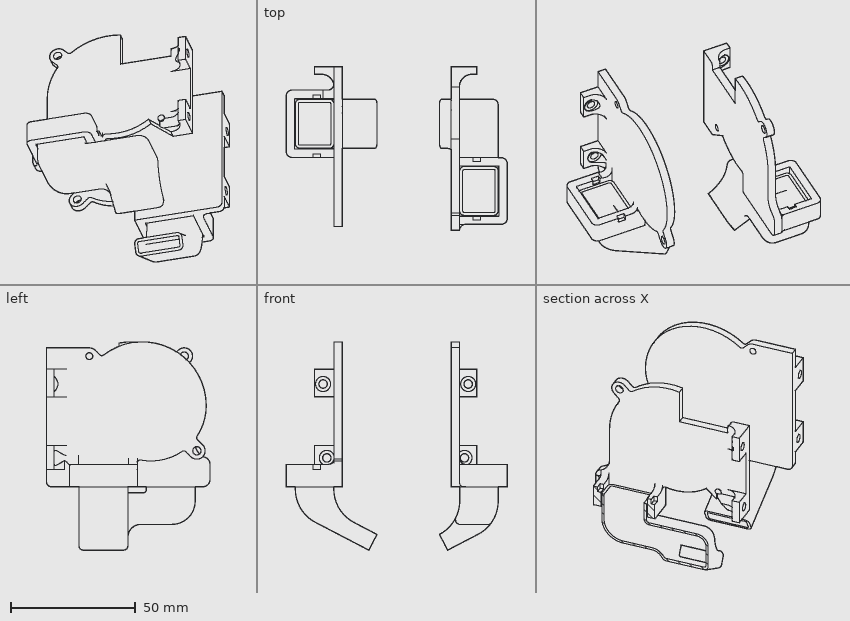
import cadquery as cq
import math


PLATE_IN = 21.8
PLATE_OUT = 25.2
BLOWER_Z = 32.5
SPIRAL_BIG_R = 25.6
SPIRAL_SMALL_R = 22.15
LEFT_BLOWER_Y = -38.45
RIGHT_BLOWER_Y = -33.9
ROOT_R = 1.15

UPPER_TAB_DY = 21.3
UPPER_TAB_DZ = 19.85
LOWER_TAB_DY = 21.8
LOWER_TAB_DZ = -18.1
TAB_R = 3.4
TAB_REACH = 8.0
TAB_HOLE_D = 3.3
PANEL_HOLE_D = 2.7
DIAGONAL = math.sqrt(0.5)

LEFT_CORNER_R = 2.0
RIGHT_FRONT_Y = -65.6
RIGHT_FOOT_R = 3.0
RIGHT_SWEEP_R = 6.0
NOTCH_BACK_Y = -8.1
NOTCH_FRONT_Y = -29.1
NOTCH_FLOOR_Z = 43.6
CUT_FRONT_Y = -17.1

LUG_THICK = 3.1
LUG_FILLET_R = 4.9
LUG_UPPER_TOP = 47.1
LUG_UPPER_HEIGHT = 11.1
LUG_LOWER_TOP = 16.7
LUG_LOWER_HEIGHT = 9.75
LEFT_LUG_X = 33.0
RIGHT_LUG_X = 32.1
LUG_UPPER_HOLE_Z = 41.2
LUG_LOWER_HOLE_Z = 11.6
LUG_HOLE_STEP = 1.5
LEFT_LUG_HOLE_X = 29.5
RIGHT_LUG_HOLE_X = 28.6
LUG_HOLE_D = 3.3
LUG_BORE_D = 6.0
LUG_BORE_DEPTH = 0.4

COLLAR_OUT = 44.3
COLLAR_HEIGHT = 9.0
COLLAR_SIDE_WALL = 3.4
COLLAR_CORNER_R = 2.5
COLLAR_FILLET_R = 2.4
CAVITY_LENGTH = 20.0
LEFT_CAVITY_BACK = -12.85
RIGHT_CAVITY_BACK = -39.8
LEFT_END_WALL = 3.5
RIGHT_END_WALL = 3.4
CATCH_X = 32.0
CATCH_WIDTH = 3.1
CATCH_LENGTH = 1.5
CATCH_DEPTH = 2.1

NOZZLE_WIDTH = 15.5
NOZZLE_GAP = 0.2
NOZZLE_WALL = 1.2
NOZZLE_EDGE_R = 1.95
RIM_Z = 6.4
CHUTE_R = 15.1
CHUTE_SLOPE = 27.5
LEFT_BEND_Z = -0.9
LEFT_RUN = 10.4
RIGHT_RUN = 0
DUCT_TOP_Z = -2.3
DUCT_BOTTOM_Z = -15.1
DUCT_ELBOW_R = 9.4
DUCT_INNER_R = 1.15
DUCT_END_R = 5.05
BELOW_OUTLET_Z = -44.3

SAME_POINT = 0.01

PLATE_THICK = PLATE_OUT - PLATE_IN
RIGHT_BEND_Z = DUCT_BOTTOM_Z + DUCT_ELBOW_R
NOZZLE_OUT = PLATE_OUT + NOZZLE_WIDTH
NOZZLE_LENGTH = CAVITY_LENGTH - 2 * NOZZLE_GAP
LEFT_NOZZLE_BACK = LEFT_CAVITY_BACK - NOZZLE_GAP
RIGHT_NOZZLE_BACK = RIGHT_CAVITY_BACK - NOZZLE_GAP
LEFT_COLLAR_FRONT = LEFT_CAVITY_BACK - CAVITY_LENGTH - LEFT_END_WALL
RIGHT_COLLAR_BACK = RIGHT_CAVITY_BACK + RIGHT_END_WALL


def box(x_range, y_range, z_range):
    """Block between two corners."""
    (x0, x1), (y0, y1), (z0, z1) = x_range, y_range, z_range
    size = (x1 - x0, y1 - y0, z1 - z0)
    return cq.Workplane("XY").box(*size, centered=False).translate((x0, y0, z0))


def plate_sketch():
    """YZ workplane on the inner plate face; extruding it runs towards the blower face."""
    return cq.Workplane("YZ", origin=(PLATE_IN, 0, 0))


def round_plate_corners(body, corners, radius):
    """Round the plate edges that run along X through the given (y, z) corners."""
    mid_x = (PLATE_IN + PLATE_OUT) / 2
    for y, z in corners:
        nearest = cq.selectors.NearestToPointSelector((mid_x, y, z))
        body = body.edges("|X").edges(nearest).fillet(radius)
    return body


def blower_disc(centre_y, front):
    """Spiral outline of the blower; `front` is -1 or +1, the Y side where both halves are flush."""
    edge_y = centre_y + front * SPIRAL_BIG_R
    upper_end = edge_y - front * 2 * SPIRAL_BIG_R
    lower_end = edge_y - front * 2 * SPIRAL_SMALL_R
    lower_y = edge_y - front * SPIRAL_SMALL_R
    return (
        plate_sketch()
        .moveTo(edge_y, BLOWER_Z)
        .threePointArc((centre_y, BLOWER_Z + SPIRAL_BIG_R), (upper_end, BLOWER_Z))
        .lineTo(lower_end, BLOWER_Z)
        .threePointArc((lower_y, BLOWER_Z - SPIRAL_SMALL_R), (edge_y, BLOWER_Z))
        .close()
        .extrude(PLATE_THICK)
    )


def screw_tab(y, z, toward_z):
    """Round-ended tab whose diagonal sides run rearwards and up or down into the blower outline."""
    tip = plate_sketch().center(y, z).circle(TAB_R).extrude(PLATE_THICK)
    stem = (
        plate_sketch()
        .center(y, z)
        .transformed(rotate=(0, 0, 45 * toward_z))
        .center(TAB_REACH / 2, 0)
        .rect(TAB_REACH, 2 * TAB_R)
        .extrude(PLATE_THICK)
    )
    return tip.union(stem)


def tab_root(tab, direction, side, centre_y, radius):
    """Point where one diagonal side of a tab meets a blower arc."""
    step_y, step_z = direction[0] * DIAGONAL, direction[1] * DIAGONAL
    start_y = tab[0] - side * step_z * TAB_R
    start_z = tab[1] + side * step_y * TAB_R
    rel_y, rel_z = start_y - centre_y, start_z - BLOWER_Z
    along = rel_y * step_y + rel_z * step_z
    travel = -along - math.sqrt(along**2 - rel_y**2 - rel_z**2 + radius**2)
    return start_y + travel * step_y, start_z + travel * step_z


def plate_hole(y, z, diameter):
    """Cutter for a screw hole through a plate."""
    return plate_sketch().center(y, z).circle(diameter / 2).extrude(PLATE_THICK)


def left_plate():
    """Panel with a screw corner at the top, a spiral disc and one tab at the lower front."""
    upper = (LEFT_BLOWER_Y + UPPER_TAB_DY, BLOWER_Z + UPPER_TAB_DZ)
    lower = (LEFT_BLOWER_Y - LOWER_TAB_DY, BLOWER_Z + LOWER_TAB_DZ)
    shoulder = (upper[0] - TAB_R * DIAGONAL, upper[1] + TAB_R * DIAGONAL)
    arc_angle = math.radians(67.5)
    arc_mid = (upper[0] - TAB_R * math.cos(arc_angle), upper[1] + TAB_R * math.sin(arc_angle))
    panel = (
        plate_sketch()
        .moveTo(0, 0)
        .lineTo(0, upper[1] + TAB_R)
        .lineTo(upper[0], upper[1] + TAB_R)
        .threePointArc(arc_mid, shoulder)
        .line(-TAB_REACH / 2, -TAB_REACH / 2)
        .lineTo(LEFT_COLLAR_FRONT, BLOWER_Z)
        .lineTo(LEFT_COLLAR_FRONT, 0)
        .close()
        .extrude(PLATE_THICK)
    )
    small_y = LEFT_BLOWER_Y - SPIRAL_BIG_R + SPIRAL_SMALL_R
    collar_drop = math.sqrt(SPIRAL_SMALL_R**2 - (LEFT_COLLAR_FRONT - small_y) ** 2)
    inside_corners = [
        tab_root(upper, (-1, -1), -1, LEFT_BLOWER_Y, SPIRAL_BIG_R),
        tab_root(lower, (1, 1), 1, small_y, SPIRAL_SMALL_R),
        tab_root(lower, (1, 1), -1, small_y, SPIRAL_SMALL_R),
        (LEFT_COLLAR_FRONT, BLOWER_Z - collar_drop),
    ]
    body = panel.union(blower_disc(LEFT_BLOWER_Y, -1)).union(screw_tab(*lower, 1))
    body = round_plate_corners(body, inside_corners, ROOT_R)
    body = round_plate_corners(body, [(0, 0)], LEFT_CORNER_R)
    return body.cut(plate_hole(*upper, PANEL_HOLE_D)).cut(plate_hole(*lower, TAB_HOLE_D))


def right_foot():
    """Front part of the right plate, sweeping out from the blower edge to a rounded foot."""
    edge_y = RIGHT_BLOWER_Y - SPIRAL_BIG_R
    toe_y = RIGHT_FRONT_Y + RIGHT_FOOT_R
    sweep_y = edge_y - RIGHT_SWEEP_R
    reach = RIGHT_SWEEP_R + RIGHT_FOOT_R
    sweep_z = COLLAR_HEIGHT + math.sqrt(reach**2 - (sweep_y - toe_y) ** 2)
    share = RIGHT_FOOT_R / reach
    meet = (toe_y + share * (sweep_y - toe_y), COLLAR_HEIGHT + share * (sweep_z - COLLAR_HEIGHT))
    return (
        plate_sketch()
        .moveTo(edge_y, BLOWER_Z)
        .lineTo(edge_y, sweep_z)
        .tangentArcPoint(meet, relative=False)
        .tangentArcPoint((RIGHT_FRONT_Y, COLLAR_HEIGHT), relative=False)
        .lineTo(RIGHT_FRONT_Y, 0)
        .lineTo(RIGHT_COLLAR_BACK, 0)
        .lineTo(RIGHT_COLLAR_BACK, BLOWER_Z)
        .close()
        .extrude(PLATE_THICK)
    )


def foot_rounding():
    """Cutter that rounds the lower front corner of the foot and of the collar fillet beside it."""
    centre = (RIGHT_FRONT_Y + RIGHT_FOOT_R, RIGHT_FOOT_R)
    x_range = (PLATE_IN, PLATE_OUT + COLLAR_FILLET_R)
    corner = box(x_range, (RIGHT_FRONT_Y, centre[0]), (0, centre[1]))
    keep = plate_sketch().center(*centre).circle(RIGHT_FOOT_R).extrude(x_range[1] - x_range[0])
    return corner.cut(keep)


def right_plate():
    """Panel with an open notch at the top, a spiral disc, one upper tab and a front foot."""
    upper = (RIGHT_BLOWER_Y - UPPER_TAB_DY, BLOWER_Z + UPPER_TAB_DZ)
    lower = (RIGHT_BLOWER_Y + LOWER_TAB_DY, BLOWER_Z + LOWER_TAB_DZ)
    lug_bottom = LUG_LOWER_TOP - LUG_LOWER_HEIGHT
    panel = (
        plate_sketch()
        .polyline([
            (0, lug_bottom),
            (0, LUG_UPPER_TOP),
            (NOTCH_FRONT_Y, LUG_UPPER_TOP),
            (NOTCH_FRONT_Y, BLOWER_Z),
            (CUT_FRONT_Y, lower[1]),
            (NOTCH_BACK_Y, lug_bottom),
        ])
        .close()
        .extrude(PLATE_THICK)
    )
    notch = box(
        (PLATE_IN, PLATE_OUT),
        (NOTCH_FRONT_Y, NOTCH_BACK_Y),
        (NOTCH_FLOOR_Z, BLOWER_Z + SPIRAL_BIG_R),
    )
    small_y = RIGHT_BLOWER_Y + SPIRAL_BIG_R - SPIRAL_SMALL_R
    collar_drop = math.sqrt(SPIRAL_SMALL_R**2 - (RIGHT_COLLAR_BACK - small_y) ** 2)
    rounded_corners = [
        tab_root(upper, (1, -1), 1, RIGHT_BLOWER_Y, SPIRAL_BIG_R),
        tab_root(upper, (1, -1), -1, RIGHT_BLOWER_Y, SPIRAL_BIG_R),
        (RIGHT_COLLAR_BACK, BLOWER_Z - collar_drop),
        (NOTCH_BACK_Y, LUG_UPPER_TOP),
    ]
    body = panel.union(blower_disc(RIGHT_BLOWER_Y, 1)).union(right_foot())
    body = body.union(screw_tab(*upper, -1)).cut(notch)
    body = round_plate_corners(body, rounded_corners, ROOT_R)
    return body.cut(plate_hole(*upper, TAB_HOLE_D)).cut(plate_hole(*lower, PANEL_HOLE_D))


def add_collar(plate, cavity_back, end_wall):
    """Join a three-sided collar to the plate, which closes its fourth side."""
    cavity_front = cavity_back - CAVITY_LENGTH
    back = cavity_back + end_wall
    front = cavity_front - end_wall
    collar = box((PLATE_OUT, COLLAR_OUT), (front, back), (0, COLLAR_HEIGHT))
    collar = collar.edges("|Z and >X").fillet(COLLAR_CORNER_R)
    cavity_x = (PLATE_OUT, COLLAR_OUT - COLLAR_SIDE_WALL)
    collar = collar.cut(box(cavity_x, (cavity_front, cavity_back), (0, COLLAR_HEIGHT)))
    body = plate.union(collar)

    for wall_front in (cavity_back, front):
        body = body.union(wall_top_fillet(wall_front, end_wall))
    return body


def corner_fillet(workplane, corner, side):
    """Concave fillet profile between the plate and a wall face on the given side of `corner`."""
    x, across = corner
    inset = COLLAR_FILLET_R * (1 - DIAGONAL)
    return (
        workplane.moveTo(x, across)
        .lineTo(x + COLLAR_FILLET_R, across)
        .threePointArc((x + inset, across + side * inset), (x, across + side * COLLAR_FILLET_R))
        .close()
    )


def wall_top_fillet(wall_front, end_wall):
    """Fillet from the top of an end wall up to the plate."""
    plane = cq.Workplane("XZ", origin=(0, wall_front, 0))
    return corner_fillet(plane, (PLATE_OUT, COLLAR_HEIGHT), 1).extrude(-end_wall)


def wall_side_fillet(wall_y, side, height):
    """Upright fillet between the outer face of an end wall and the plate."""
    return corner_fillet(cq.Workplane("XY"), (PLATE_OUT, wall_y), side).extrude(height)


def wall_corner_fillet(wall_back):
    """Piece that joins the top fillet of an end wall to the upright fillet behind it."""
    upright = wall_side_fillet(wall_back, 1, COLLAR_HEIGHT + COLLAR_FILLET_R)
    return wall_top_fillet(wall_back, COLLAR_FILLET_R).intersect(upright)


def catch_notch(back):
    """Cutter for a shallow notch in the top of an end wall, running forwards from `back`."""
    half = CATCH_WIDTH / 2
    return box(
        (CATCH_X - half, CATCH_X + half),
        (back - CATCH_LENGTH, back),
        (COLLAR_HEIGHT - CATCH_DEPTH, COLLAR_HEIGHT),
    )


def lug(end_x, top, height):
    """Mounting ear at the rear edge, blended into the plate by a concave fillet."""
    return (
        cq.Workplane("XY", origin=(0, 0, top - height))
        .moveTo(PLATE_OUT, 0)
        .lineTo(end_x, 0)
        .lineTo(end_x, -LUG_THICK)
        .lineTo(PLATE_OUT + LUG_FILLET_R, -LUG_THICK)
        .tangentArcPoint((PLATE_OUT, -LUG_THICK - LUG_FILLET_R), relative=False)
        .close()
        .extrude(height)
    )


def lug_bore(x, z):
    """Cutter for a lug screw: a through hole and a wider bore for the head and the driver."""
    hole = cq.Workplane("XZ", origin=(x, 0, z)).circle(LUG_HOLE_D / 2).extrude(LUG_THICK)
    seat_y = LUG_BORE_DEPTH - LUG_THICK
    bore = cq.Workplane("XZ", origin=(x, seat_y, z)).circle(LUG_BORE_D / 2)
    return hole.union(bore.extrude(seat_y - LEFT_CAVITY_BACK))


def add_lugs(body, end_x, hole_x):
    """Join both lugs and drill them."""
    body = body.union(lug(end_x, LUG_UPPER_TOP, LUG_UPPER_HEIGHT))
    body = body.union(lug(end_x, LUG_LOWER_TOP, LUG_LOWER_HEIGHT))
    body = body.cut(lug_bore(hole_x, LUG_UPPER_HOLE_Z))
    return body.cut(lug_bore(hole_x - LUG_HOLE_STEP, LUG_LOWER_HOLE_Z))


def make_left_holder():
    """Left holder, modelled on the +X side."""
    body = add_collar(left_plate(), LEFT_CAVITY_BACK, LEFT_END_WALL)
    wall_back = LEFT_CAVITY_BACK + LEFT_END_WALL
    body = body.union(wall_side_fillet(wall_back, 1, COLLAR_HEIGHT))
    body = body.union(wall_corner_fillet(wall_back))
    body = add_lugs(body, LEFT_LUG_X, LEFT_LUG_HOLE_X)
    body = body.cut(catch_notch(LEFT_CAVITY_BACK + CATCH_LENGTH))
    return body.cut(catch_notch(LEFT_COLLAR_FRONT + CATCH_LENGTH))


def make_right_holder():
    """Right holder."""
    body = add_collar(right_plate(), RIGHT_CAVITY_BACK, RIGHT_END_WALL)
    wall_front = RIGHT_CAVITY_BACK - CAVITY_LENGTH - RIGHT_END_WALL
    body = body.union(wall_side_fillet(wall_front, -1, COLLAR_HEIGHT))
    body = body.cut(foot_rounding())
    body = add_lugs(body, RIGHT_LUG_X, RIGHT_LUG_HOLE_X)
    body = body.cut(catch_notch(RIGHT_COLLAR_BACK))
    return body.cut(catch_notch(RIGHT_CAVITY_BACK - CAVITY_LENGTH))


def chute_outline(bend_z, run, extra):
    """XZ outline of a chute bending inwards; `extra` lengthens both open ends."""
    slope = math.radians(CHUTE_SLOPE)
    bend_dx = -CHUTE_R * (1 - math.sin(slope))
    bend_dz = -CHUTE_R * math.cos(slope)
    inner_end = (PLATE_OUT + bend_dx, bend_z + bend_dz)
    outer_end = (NOZZLE_OUT + bend_dx, bend_z + bend_dz)
    inner_run = run + extra
    outer_run = inner_run + NOZZLE_WIDTH * math.cos(slope)
    run_x, run_z = -math.cos(slope), -math.sin(slope)
    outline = (
        cq.Workplane("XZ")
        .moveTo(PLATE_OUT, RIM_Z + extra)
        .lineTo(PLATE_OUT, bend_z)
        .tangentArcPoint(inner_end, relative=False)
    )
    if inner_run > 0:
        outline = outline.line(run_x * inner_run, run_z * inner_run)
    return (
        outline.lineTo(outer_end[0] + run_x * outer_run, outer_end[1] + run_z * outer_run)
        .lineTo(*outer_end)
        .threePointArc(bend_middle(bend_z), (NOZZLE_OUT, bend_z))
        .lineTo(NOZZLE_OUT, RIM_Z + extra)
        .close()
    )


def bend_middle(bend_z):
    """Middle point of the outer chute bend."""
    half_turn = math.radians(90 - CHUTE_SLOPE) / 2
    return NOZZLE_OUT - CHUTE_R * (1 - math.cos(half_turn)), bend_z - CHUTE_R * math.sin(half_turn)


def duct_outline(extra):
    """YZ outline of the right nozzle: inlet, elbow, sideways duct and drop into the chute."""
    inlet_front = RIGHT_NOZZLE_BACK - NOZZLE_LENGTH
    chute_front = LEFT_NOZZLE_BACK - NOZZLE_LENGTH
    return (
        cq.Workplane("YZ")
        .moveTo(inlet_front, RIM_Z + extra)
        .lineTo(inlet_front, DUCT_BOTTOM_Z + DUCT_ELBOW_R)
        .tangentArcPoint((DUCT_ELBOW_R, -DUCT_ELBOW_R))
        .lineTo(chute_front - DUCT_END_R, DUCT_BOTTOM_Z)
        .tangentArcPoint((DUCT_END_R, -DUCT_END_R))
        .lineTo(chute_front, BELOW_OUTLET_Z)
        .lineTo(LEFT_NOZZLE_BACK, BELOW_OUTLET_Z)
        .lineTo(LEFT_NOZZLE_BACK, DUCT_TOP_Z - DUCT_END_R)
        .tangentArcPoint((-DUCT_END_R, DUCT_END_R))
        .lineTo(RIGHT_NOZZLE_BACK + DUCT_INNER_R, DUCT_TOP_Z)
        .tangentArcPoint((-DUCT_INNER_R, DUCT_INNER_R))
        .lineTo(RIGHT_NOZZLE_BACK, RIM_Z + extra)
        .close()
    )


def round_edges(body, radius):
    """Round every edge except those around the flat inlet and the slanted outlet."""
    ends = body.faces(">Z").edges().vals() + outlet_face(body).edges().vals()
    middles = [edge.Center() for edge in ends]
    long_edges = [
        edge for edge in body.edges().vals()
        if all((edge.Center() - middle).Length > SAME_POINT for middle in middles)
    ]
    return body.newObject(long_edges).fillet(radius)


def outlet_face(body):
    """The slanted plane that ends a chute."""
    slope = math.radians(CHUTE_SLOPE)
    outlet_direction = cq.Vector(-math.cos(slope), 0, -math.sin(slope))
    return body.faces(cq.selectors.DirectionMinMaxSelector(outlet_direction, True))


def hollow(outer, inner):
    """Nozzle shell with rounded outer and inner edges."""
    shell = round_edges(outer, NOZZLE_EDGE_R)
    passage = round_edges(inner, NOZZLE_EDGE_R - NOZZLE_WALL)
    return shell.cut(passage)


def make_left_nozzle():
    """Straight nozzle below the left collar, modelled on the +X side."""
    chute = chute_outline(LEFT_BEND_Z, LEFT_RUN, 0)
    outer = chute.extrude(NOZZLE_LENGTH).translate((0, LEFT_NOZZLE_BACK, 0))
    bore = chute_outline(LEFT_BEND_Z, LEFT_RUN, NOZZLE_WALL).offset2D(-NOZZLE_WALL)
    inner_back = LEFT_NOZZLE_BACK - NOZZLE_WALL
    inner = bore.extrude(NOZZLE_LENGTH - 2 * NOZZLE_WALL).translate((0, inner_back, 0))
    return hollow(outer, inner)


def crossed(chute, duct):
    """Solid whose XZ outline is the chute and whose YZ outline is the duct."""
    return chute.extrude(-RIGHT_FRONT_Y).intersect(duct.extrude(COLLAR_OUT))


def make_right_nozzle():
    """Nozzle that leads rearwards from the right collar before it drops into its chute."""
    outer = crossed(chute_outline(RIGHT_BEND_Z, RIGHT_RUN, 0), duct_outline(0))
    bore = chute_outline(RIGHT_BEND_Z, RIGHT_RUN, NOZZLE_WALL).offset2D(-NOZZLE_WALL)
    duct_bore = duct_outline(NOZZLE_WALL).offset2D(-NOZZLE_WALL)
    return hollow(outer, crossed(bore, duct_bore))


left_holder = make_left_holder().mirror("YZ")
right_holder = make_right_holder()
left_nozzle = make_left_nozzle().mirror("YZ")
right_nozzle = make_right_nozzle()

result = cq.Compound.makeCompound([
    left_holder.val(),
    right_holder.val(),
    left_nozzle.val(),
    right_nozzle.val(),
])